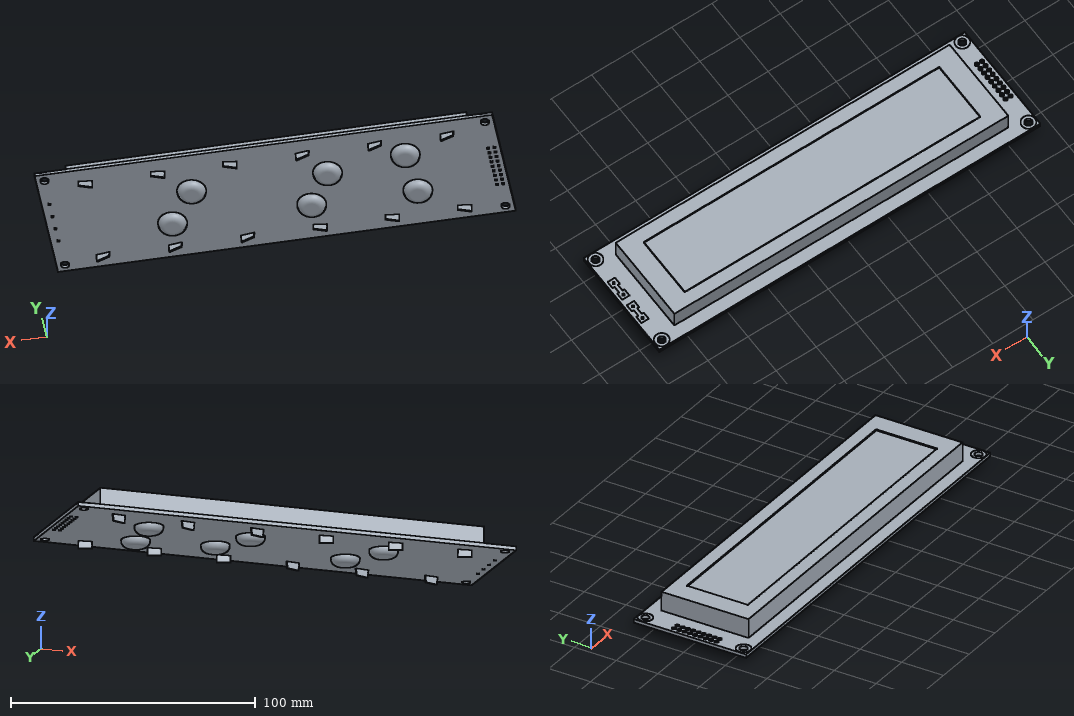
import cadquery as cq

BOARD_LENGTH = 190.0
BOARD_WIDTH = 54.0
BOARD_THICKNESS = 1.7
COPPER = 0.05

MOUNT_X = 91.4
MOUNT_Y = 23.5
MOUNT_HOLE_DIAMETER = 3.5
MOUNT_PAD_DIAMETER = 6.5

TOTAL_HEIGHT = 13.7
FRAME_LENGTH = 166.5
FRAME_WIDTH = 41.8
UNDERSIDE_HEIGHT = 3.0
FRAME_HEIGHT = TOTAL_HEIGHT - BOARD_THICKNESS - UNDERSIDE_HEIGHT
WINDOW_LENGTH = 147.2
WINDOW_WIDTH = 29.3
WINDOW_DEPTH = 0.5

PIN_ROWS = 9
PIN_COLUMNS = 2
PIN_PITCH = 2.55
PIN_HOLE_DIAMETER = 1.0
PIN_PAD_DIAMETER = 1.8
HEADER_CENTER = (-91.4, -1.1)

TERMINAL_X = 91.8
TERMINAL_Y = (7.0, -6.6)
TERMINAL_PAD = 3.6
TERMINAL_PAD_SPACING = 6.8
TERMINAL_STRIP_WIDTH = 1.7
TERMINAL_HOLE_DIAMETER = 1.0

TAB_COUNT = 6
TAB_PITCH = 30.0
TAB_LENGTH = 5.7
TAB_THICKNESS = 0.5
TAB_TWIST = 20.0
TAB_Y = 20.3

CHIP_DIAMETER = 12.0
CHIP_ROUNDING = 2.8
CHIP_CENTERS = [
    (-57.8, -8.5),
    (-13.7, -8.5),
    (44.0, -8.5),
    (-56.2, 11.8),
    (-23.2, 7.6),
    (33.2, 7.6),
]


def plate(length, width, z_bottom, height):
    """Rectangular block centred on the Z axis."""
    return cq.Workplane("XY").workplane(offset=z_bottom).rect(length, width).extrude(height)


def board_cylinders(points, diameter):
    """Cylinders from the board's underside to the top of the copper, used as pads or hole cutters."""
    board_bottom = cq.Workplane("XY", origin=(0, 0, -BOARD_THICKNESS))
    return board_bottom.pushPoints(points).circle(diameter / 2).extrude(BOARD_THICKNESS + COPPER)


def terminal(y_center):
    """Pair of square copper pads joined by a strip, raised from the board."""
    copper = cq.Workplane("XY", origin=(TERMINAL_X, y_center, -BOARD_THICKNESS))
    height = BOARD_THICKNESS + COPPER
    ends = [(0, -TERMINAL_PAD_SPACING / 2), (0, TERMINAL_PAD_SPACING / 2)]
    squares = copper.pushPoints(ends).rect(TERMINAL_PAD, TERMINAL_PAD).extrude(height)
    strip = copper.rect(TERMINAL_STRIP_WIDTH, TERMINAL_PAD_SPACING).extrude(height)
    return squares.union(strip)


def tab(x, side):
    """Frame tab that starts parallel to the frame wall and twists on its way down through the board."""
    direction = -side if x > 0 else side
    return (
        cq.Workplane("XY", origin=(x, side * TAB_Y, 0))
        .rect(TAB_LENGTH, TAB_THICKNESS)
        .twistExtrude(-BOARD_THICKNESS - UNDERSIDE_HEIGHT, direction * TAB_TWIST)
    )


def chip(center):
    """Round drop of potting compound with a rounded lower rim."""
    return (
        cq.Workplane("XY", origin=(*center, -BOARD_THICKNESS))
        .circle(CHIP_DIAMETER / 2)
        .extrude(-UNDERSIDE_HEIGHT)
        .faces("<Z")
        .edges()
        .fillet(CHIP_ROUNDING)
    )


mount_points = [(sx * MOUNT_X, sy * MOUNT_Y) for sx in (-1, 1) for sy in (-1, 1)]
pin_points = [
    (
        HEADER_CENTER[0] + (column - (PIN_COLUMNS - 1) / 2) * PIN_PITCH,
        HEADER_CENTER[1] + (row - (PIN_ROWS - 1) / 2) * PIN_PITCH,
    )
    for column in range(PIN_COLUMNS)
    for row in range(PIN_ROWS)
]
terminal_points = [
    (TERMINAL_X, y + end * TERMINAL_PAD_SPACING / 2) for y in TERMINAL_Y for end in (-1, 1)
]

result = plate(BOARD_LENGTH, BOARD_WIDTH, -BOARD_THICKNESS, BOARD_THICKNESS)
result = result.union(board_cylinders(mount_points, MOUNT_PAD_DIAMETER))
result = result.union(board_cylinders(pin_points, PIN_PAD_DIAMETER))
for y in TERMINAL_Y:
    result = result.union(terminal(y))

result = result.cut(board_cylinders(mount_points, MOUNT_HOLE_DIAMETER))
result = result.cut(board_cylinders(pin_points, PIN_HOLE_DIAMETER))
result = result.cut(board_cylinders(terminal_points, TERMINAL_HOLE_DIAMETER))

frame = plate(FRAME_LENGTH, FRAME_WIDTH, 0, FRAME_HEIGHT)
window = plate(WINDOW_LENGTH, WINDOW_WIDTH, FRAME_HEIGHT - WINDOW_DEPTH, WINDOW_DEPTH)
result = result.union(frame.cut(window))

for index in range(TAB_COUNT):
    tab_x = (index - (TAB_COUNT - 1) / 2) * TAB_PITCH
    for side in (-1, 1):
        result = result.union(tab(tab_x, side))
for center in CHIP_CENTERS:
    result = result.union(chip(center))